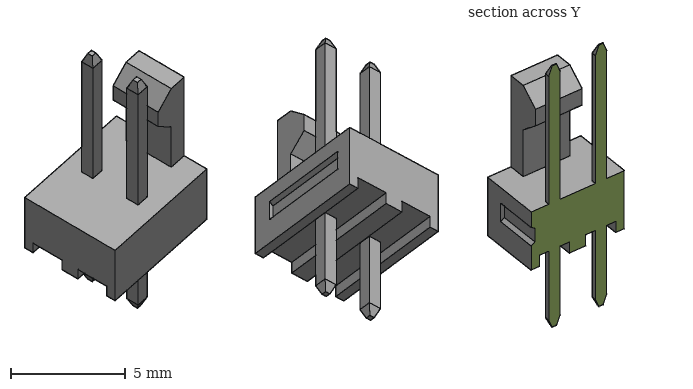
import cadquery as cq

PIN_COUNT = 2
PITCH = 2.54

HOUSING_WIDTH = PIN_COUNT * PITCH
HOUSING_DEPTH = 6.35
HOUSING_HEIGHT = 3.175
FRONT_Y = -HOUSING_DEPTH / 2
BACK_Y = HOUSING_DEPTH / 2

GROOVE_WIDTH = 1.62
GROOVE_HEIGHT = 0.6
GROOVE_PITCH = 2.52

RECESS_LENGTH = 4.58
RECESS_HEIGHT = 1.0
RECESS_DEPTH = 0.2
RECESS_WALL_RISE = 0.14
RECESS_FRONT_GAP = 0.81
RECESS_TOP_GAP = 0.85

PIN_SIZE = 0.64
PIN_TIP_SIZE = 0.25
PIN_TIP_LENGTH = 0.49
PIN_LENGTH = 14.22
PIN_TOP_Z = 7.43
PIN_Y = -0.09

LATCH_WIDTH = 2.54
LATCH_HEIGHT = 4.95
LATCH_THICKNESS = 0.9
LATCH_HOOK_REACH = 0.9
LATCH_RAMP_HEIGHT = 0.76
LATCH_HOOK_FACE_HEIGHT = 0.9


def pitch_positions(pitch):
    """X positions of the pins or grooves, centred on the housing."""
    first = -(PIN_COUNT - 1) * pitch / 2
    return [first + index * pitch for index in range(PIN_COUNT)]


def make_housing():
    return cq.Workplane("XY").box(
        HOUSING_WIDTH, HOUSING_DEPTH, HOUSING_HEIGHT, centered=(True, True, False)
    ).translate((0, 0, -HOUSING_HEIGHT))


def make_groove(x):
    return cq.Workplane("XY").box(
        GROOVE_WIDTH, HOUSING_DEPTH, GROOVE_HEIGHT, centered=(True, True, False)
    ).translate((x, 0, -HOUSING_HEIGHT))


def make_recess():
    outer_x = -HOUSING_WIDTH / 2
    inner_x = outer_x + RECESS_DEPTH
    top_z = -RECESS_TOP_GAP
    bottom_z = top_z - RECESS_HEIGHT
    start_y = FRONT_Y + RECESS_FRONT_GAP
    profile = [
        (outer_x, top_z),
        (inner_x, top_z - RECESS_WALL_RISE),
        (inner_x, bottom_z + RECESS_WALL_RISE),
        (outer_x, bottom_z),
    ]
    return (
        cq.Workplane("XZ", origin=(0, start_y, 0))
        .polyline(profile)
        .close()
        .extrude(-RECESS_LENGTH)
    )


def make_latch():
    stem_y = BACK_Y - LATCH_THICKNESS
    hook_y = stem_y - LATCH_HOOK_REACH
    hook_top_z = LATCH_HEIGHT - LATCH_RAMP_HEIGHT
    hook_bottom_z = hook_top_z - LATCH_HOOK_FACE_HEIGHT
    profile = [
        (BACK_Y, 0),
        (BACK_Y, LATCH_HEIGHT),
        (stem_y, LATCH_HEIGHT),
        (hook_y, hook_top_z),
        (hook_y, hook_bottom_z),
        (stem_y, hook_bottom_z - LATCH_RAMP_HEIGHT),
        (stem_y, 0),
    ]
    return (
        cq.Workplane("YZ")
        .polyline(profile)
        .close()
        .extrude(LATCH_WIDTH / 2, both=True)
    )


def make_pin(x):
    """Square pin with a blunt pyramid at both ends."""
    shank_length = PIN_LENGTH - 2 * PIN_TIP_LENGTH
    shank_bottom_z = PIN_TOP_Z - PIN_LENGTH + PIN_TIP_LENGTH
    shank = cq.Workplane("XY").box(
        PIN_SIZE, PIN_SIZE, shank_length, centered=(True, True, False)
    )
    top_tip = (
        cq.Workplane("XY", origin=(0, 0, shank_length))
        .rect(PIN_SIZE, PIN_SIZE)
        .workplane(offset=PIN_TIP_LENGTH)
        .rect(PIN_TIP_SIZE, PIN_TIP_SIZE)
        .loft(ruled=True)
    )
    bottom_tip = top_tip.mirror("XY", (0, 0, shank_length / 2))
    return shank.union(top_tip).union(bottom_tip).translate((x, PIN_Y, shank_bottom_z))


result = make_housing().cut(make_recess())
for groove_x in pitch_positions(GROOVE_PITCH):
    result = result.cut(make_groove(groove_x))
result = result.union(make_latch())
for pin_x in pitch_positions(PITCH):
    result = result.union(make_pin(pin_x))